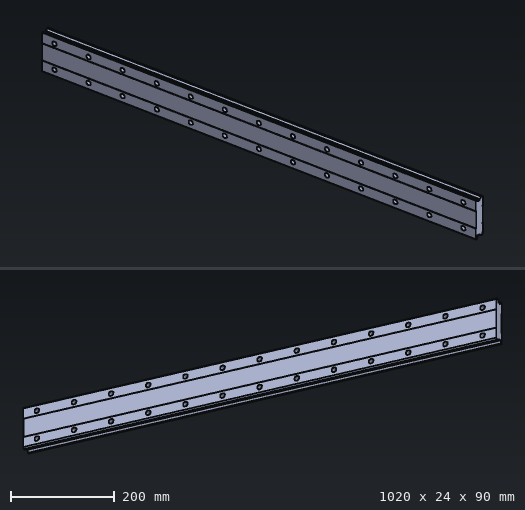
import cadquery as cq

length = 1020.0
thickness = 24.0
height = 90.0

recess_height = 40.0
recess_depth = 1.0

groove_depth = 5.0
groove_floor_width = 6.0

front_lip_width = 4.0
front_slope_run = 2.5

inner_chamfer_run = 5.0
inner_chamfer_rise = 3.0
back_chamfer = 3.0

hole_diameter = 10.0
hole_end_margin = 30.0
holes_per_row = 13
row_spacing = 60.0

hole_pitch = (length - 2 * hole_end_margin) / (holes_per_row - 1)
half_thickness = thickness / 2
half_height = height / 2
groove_front = -half_thickness + front_lip_width + front_slope_run
groove_back = groove_front + groove_floor_width
groove_floor = half_height - groove_depth


def make_body():
    """Extrude the cross-section, symmetric about mid-height, along X."""
    half_recess = recess_height / 2
    recess_offset = half_thickness - recess_depth
    upper_half = [
        (-recess_offset, half_recess),
        (-half_thickness, half_recess),
        (-half_thickness, half_height),
        (-half_thickness + front_lip_width, half_height),
        (groove_front, groove_floor),
        (groove_back, groove_floor),
        (groove_back, half_height - inner_chamfer_rise),
        (groove_back + inner_chamfer_run, half_height),
        (half_thickness - back_chamfer, half_height),
        (half_thickness, half_height - back_chamfer),
        (half_thickness, half_recess),
        (recess_offset, half_recess),
    ]
    lower_half = [(y, -z) for y, z in reversed(upper_half)]
    section_plane = cq.Workplane("YZ", origin=(-length / 2, 0, 0))
    profile = section_plane.polyline(upper_half + lower_half).close()
    return profile.extrude(length)


def drill_holes(body):
    """Drill both rows of holes through the full thickness."""
    cutters = (
        cq.Workplane("XZ")
        .rarray(hole_pitch, row_spacing, holes_per_row, 2)
        .circle(hole_diameter / 2)
        .extrude(thickness, both=True)
    )
    return body.cut(cutters)


result = drill_holes(make_body())